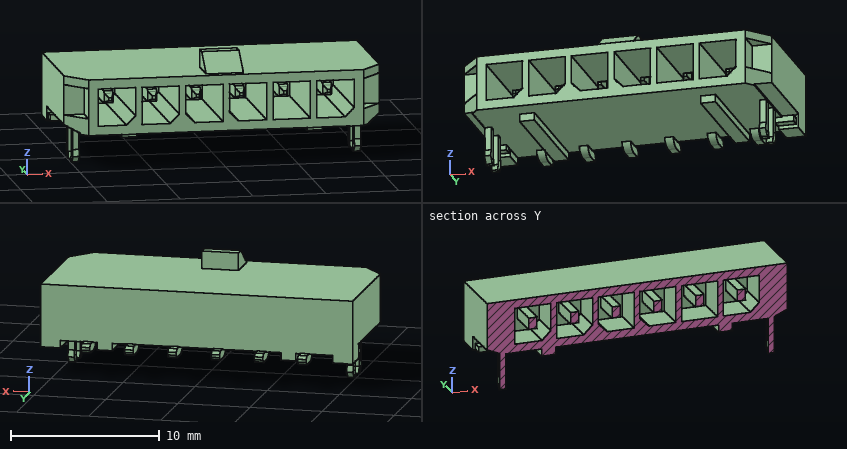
import cadquery as cq
import math


width = 21.65
depth = 9.85
height = 3.85
half_width = width / 2

corner_x = 1.38
corner_y = 1.67
pocket_bottom = 1.17
pocket_top = 3.25

relief_x = 0.9
relief_top = 0.48
relief_step = 0.09

standoff = 0.52
foot_length = 1.82
rib_width = 1.04
rib_center = 6.36
rib_front = 8.27

key_sides = [1, 1, -1, -1, 0, 1]
ways = len(key_sides)
row_span = 15.0
pitch = row_span / (ways - 1)
cavity_size = 2.55
cavity_depth = 7.57
cavity_corner = 0.63
cavity_z = height / 2
pin_width = 0.6
pin_height = 0.85
pin_length = 4.33
pin_z = 1.97
pin_bevel_length = 0.22
pin_tip_length = 0.58
pin_tip_size = 0.22

tail_thickness = 0.63
tail_reach = 0.85
tail_bottom = -0.58
tail_flat = 0.35
tail_nose = 0.22
bend_inner = 0.13
tail_root = 0.43

latch_width = 2.55
latch_rise = 1.21
latch_rear = 6.88
latch_crest = 7.68
latch_front = 9.3

clip_thickness = 0.45
clip_y = -5.25
clip_inner = 0.58
clip_outer = 1.1
hook_outer = 1.25
hook_start = -1.62
hook_widest = -2.08
hook_end = -2.53
hook_end_inner = 0.41
hook_end_outer = 0.85
tab_rear = 2.08
tab_length = 0.67
tab_bottom = -0.37
tab_top = 0.06
tab_end = 10.75

overlap = 0.22


def block(x_range, y_range, z_range):
    """Box spanning the given ranges."""
    x0, x1 = min(x_range), max(x_range)
    y0, y1 = min(y_range), max(y_range)
    z0, z1 = min(z_range), max(z_range)
    return cq.Workplane("XY").box(x1 - x0, y1 - y0, z1 - z0, centered=False).translate((x0, y0, z0))


def side_profile(points, x_center, thickness):
    """Extrude a (Y, Z) outline along X, centred on x_center."""
    outline = cq.Workplane("YZ").polyline(points).close()
    return outline.extrude(thickness / 2, both=True).translate((x_center, 0, 0))


def housing_block():
    front_half = half_width - corner_x
    shoulder_y = corner_y - depth
    outline = [
        (-half_width, 0),
        (half_width, 0),
        (half_width, shoulder_y),
        (front_half, -depth),
        (-front_half, -depth),
        (-half_width, shoulder_y),
    ]
    return cq.Workplane("XY").polyline(outline).close().extrude(height)


def corner_pocket(side):
    x_range = (side * (half_width - corner_x), side * half_width)
    return block(x_range, (-depth, corner_y - depth), (pocket_bottom, pocket_top))


def side_relief(side):
    inner_x = side * (half_width - relief_x)
    outer_x = side * half_width
    outline = [(outer_x, 0), (outer_x, relief_top), (inner_x, relief_step), (inner_x, 0)]
    relief = cq.Workplane("XZ").polyline(outline).close().extrude(depth - foot_length)
    return relief.translate((0, -foot_length, 0))


def foot(side):
    x_range = (side * (half_width - corner_x), side * half_width)
    return block(x_range, (-foot_length, 0), (-standoff, overlap))


def rib(side):
    center = side * rib_center
    x_range = (center - rib_width / 2, center + rib_width / 2)
    return block(x_range, (-rib_front, 0), (-standoff, overlap))


def latch():
    points = [
        (-latch_rear, height - overlap),
        (-latch_rear, height + latch_rise),
        (-latch_crest, height + latch_rise),
        (-latch_front, height),
        (-latch_front, height - overlap),
    ]
    return side_profile(points, 0, latch_width)


def cavity(x_center, key_side):
    half = cavity_size / 2
    if key_side == 0:
        outline = [(-half, -half), (half, -half), (half, half), (-half, half)]
    else:
        outline = [
            (-key_side * half, -half),
            (key_side * (half - cavity_corner), -half),
            (key_side * half, cavity_corner - half),
            (key_side * half, half),
            (-key_side * half, half),
        ]
    hole = cq.Workplane("XZ").polyline(outline).close().extrude(cavity_depth)
    return hole.translate((x_center, cavity_depth - depth, cavity_z))


def taper(start_size, end_size, start_y, length):
    """Solid running toward -Y between two (X, Z) rectangles."""
    section = cq.Workplane("XZ", origin=(0, start_y, 0)).rect(*start_size)
    return section.workplane(offset=length).rect(*end_size).loft(ruled=True)


def contact_pin(x_center):
    root_y = cavity_depth - depth + overlap
    shaft_length = pin_length + overlap
    bevel_y = root_y - shaft_length
    tip_y = bevel_y - pin_bevel_length
    shaft = cq.Workplane("XZ", origin=(0, root_y, 0)).rect(pin_width, pin_height).extrude(shaft_length)
    square = (pin_width, pin_width)
    bevel = taper((pin_width, pin_height), square, bevel_y, pin_bevel_length)
    tip = taper(square, (pin_tip_size, pin_tip_size), tip_y, pin_tip_length)
    return shaft.union(bevel).union(tip).translate((x_center, 0, pin_z))


def solder_tail(x_center):
    bend_outer = bend_inner + tail_thickness
    bend_z = tail_bottom + bend_outer
    tail_top = tail_bottom + tail_thickness
    diagonal = math.sqrt(0.5)
    tail = (
        cq.Workplane("YZ")
        .moveTo(tail_reach - tail_nose, tail_bottom)
        .lineTo(-tail_flat, tail_bottom)
        .threePointArc(
            (-tail_flat - bend_outer * diagonal, bend_z - bend_outer * diagonal),
            (-tail_flat - bend_outer, bend_z),
        )
        .lineTo(-tail_flat - bend_outer, bend_z + tail_root)
        .lineTo(-tail_flat - bend_inner, bend_z + tail_root)
        .lineTo(-tail_flat - bend_inner, bend_z)
        .threePointArc(
            (-tail_flat - bend_inner * diagonal, bend_z - bend_inner * diagonal),
            (-tail_flat, tail_top),
        )
        .lineTo(tail_reach - tail_nose, tail_top)
        .lineTo(tail_reach, tail_top - tail_nose)
        .lineTo(tail_reach, tail_bottom + tail_nose)
        .close()
    )
    return tail.extrude(pin_width / 2, both=True).translate((x_center, 0, 0))


def clip_leg(side, direction):
    """One hooked leg; direction +1 hooks toward +Y and -1 toward -Y."""
    outline = [
        (clip_inner, overlap),
        (clip_outer, overlap),
        (clip_outer, hook_start),
        (hook_outer, hook_widest),
        (hook_end_outer, hook_end),
        (hook_end_inner, hook_end),
        (clip_inner, hook_widest),
    ]
    points = [(clip_y + direction * offset, z) for offset, z in outline]
    x_center = side * (half_width - corner_x + clip_thickness / 2)
    return side_profile(points, x_center, clip_thickness)


def clip_tab(side):
    x_range = (side * (half_width - corner_x), side * tab_end)
    return block(x_range, (-tab_rear - tab_length, -tab_rear), (tab_bottom, tab_top))


result = housing_block().union(latch())

for side in (-1, 1):
    result = result.cut(corner_pocket(side)).cut(side_relief(side))
    result = result.union(foot(side)).union(rib(side)).union(clip_tab(side))
    for direction in (-1, 1):
        result = result.union(clip_leg(side, direction))

for way, key_side in enumerate(key_sides):
    x_center = (way - (ways - 1) / 2) * pitch
    result = result.cut(cavity(x_center, key_side))
    result = result.union(contact_pin(x_center)).union(solder_tail(x_center))